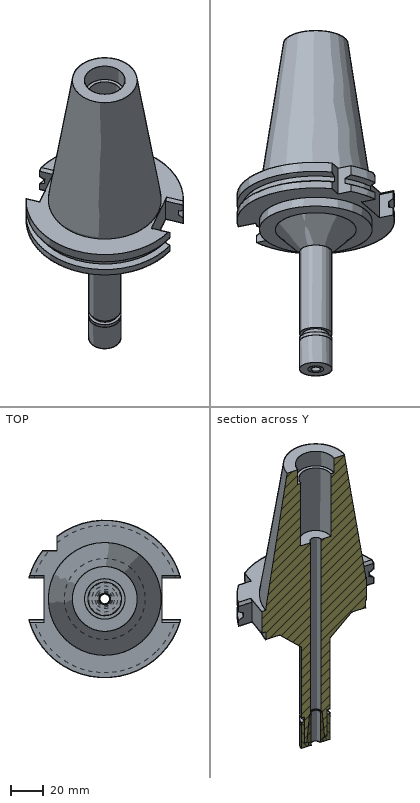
import cadquery as cq
import math

total_height = 221.8
gauge_z = 120.0
flange_top_z = 118.6
flange_bottom_z = 101.1
collar_bottom_z = 95.1
cone_bottom_z = 80.0
neck_top_z = 24.0
nut_top_z = 20.8

gauge_diameter = 69.9
taper_ratio = 7 / 24
taper_top_diameter = gauge_diameter - taper_ratio * (total_height - gauge_z)
flange_diameter = 97.5
shank_diameter = 20.0
neck_diameter = 16.0
cone_top_diameter = shank_diameter + 2 * (collar_bottom_z - cone_bottom_z)

groove_center_z = 109.0
groove_floor_diameter = 91.4
groove_floor_width = 3.0
groove_wall_angle = 30.0

slot_width = 25.7
slot_chamfer = 1.8
left_slot_floor = 37.7
right_slot_floor = 35.5
notch_x = -29.7
notch_y = 30.0

counterbore_diameter = 25.0
counterbore_depth = 11.5
thread_bore_diameter = 20.8
thread_bore_depth = 61.0
coolant_hole_diameter = 7.0

nut_diameter = 20.2
nut_rim_diameter = 20.5
nut_rim_height = 2.2
nut_front_wall = 3.3
collet_nose_diameter = 9.8
collet_large_diameter = 12.0
collet_small_diameter = 8.5
collet_length = 24.5
collet_bore_diameter = 6.0


def cylinder(diameter, bottom_z, top_z):
    return cq.Workplane("XY").workplane(offset=bottom_z).circle(diameter / 2).extrude(top_z - bottom_z)


def revolved(profile):
    """Revolve a closed (radius, z) outline around the Z axis."""
    return cq.Workplane("XZ").polyline(profile).close().revolve(360, (0, 0, 0), (0, 1, 0))


def collet_cone():
    """Tapered part of the collet, resting on the front wall of the nut."""
    return revolved([
        (0, nut_front_wall),
        (collet_large_diameter / 2, nut_front_wall),
        (collet_small_diameter / 2, collet_length),
        (0, collet_length),
    ])


def holder_blank():
    """Turned outside: steep taper, flange, collar, cone, shank and neck."""
    gauge_radius = gauge_diameter / 2
    flange_radius = flange_diameter / 2
    shank_radius = shank_diameter / 2
    neck_radius = neck_diameter / 2
    return revolved([
        (0, nut_front_wall),
        (neck_radius, nut_front_wall),
        (neck_radius, neck_top_z),
        (shank_radius, neck_top_z),
        (shank_radius, cone_bottom_z),
        (cone_top_diameter / 2, collar_bottom_z),
        (gauge_radius, collar_bottom_z),
        (gauge_radius, flange_bottom_z),
        (flange_radius, flange_bottom_z),
        (flange_radius, flange_top_z),
        (gauge_radius, flange_top_z),
        (gauge_radius, gauge_z),
        (taper_top_diameter / 2, total_height),
        (0, total_height),
    ])


def flange_groove():
    floor_radius = groove_floor_diameter / 2
    rim_radius = flange_diameter / 2
    floor_half = groove_floor_width / 2
    rim_half = floor_half + (rim_radius - floor_radius) * math.tan(math.radians(groove_wall_angle))
    return revolved([
        (floor_radius, groove_center_z - floor_half),
        (rim_radius, groove_center_z - rim_half),
        (rim_radius, groove_center_z + rim_half),
        (floor_radius, groove_center_z + floor_half),
    ])


def drive_slot(floor_distance, side):
    """Slot open outwards on one side (-1 or +1 along X), chamfered along its top edges."""
    half = slot_width / 2
    return (
        cq.Workplane("YZ")
        .workplane(offset=side * floor_distance)
        .polyline([
            (-half, flange_bottom_z),
            (half, flange_bottom_z),
            (half, flange_top_z - slot_chamfer),
            (half + slot_chamfer, flange_top_z),
            (-half - slot_chamfer, flange_top_z),
            (-half, flange_top_z - slot_chamfer),
        ])
        .close()
        .extrude(side * flange_diameter / 2)
    )


def orientation_notch():
    """Square-cornered notch through the flange rim in the -X, +Y quadrant."""
    size = flange_diameter / 2
    return (
        cq.Workplane("XY")
        .workplane(offset=flange_bottom_z)
        .moveTo(notch_x - size / 2, notch_y + size / 2)
        .rect(size, size)
        .extrude(flange_top_z - flange_bottom_z)
    )


def make_holder():
    holder = holder_blank().cut(flange_groove())
    holder = holder.cut(drive_slot(left_slot_floor, -1)).cut(drive_slot(right_slot_floor, 1))
    holder = holder.cut(orientation_notch())
    holder = holder.cut(cylinder(counterbore_diameter, total_height - counterbore_depth, total_height))
    holder = holder.cut(cylinder(thread_bore_diameter, total_height - thread_bore_depth, total_height))
    holder = holder.cut(cylinder(coolant_hole_diameter, nut_front_wall, total_height))
    return holder.cut(collet_cone())


def make_nut():
    """Cup around the neck, with a slightly wider rim and an opening for the collet nose."""
    nut = cylinder(nut_diameter, 0, nut_top_z)
    nut = nut.union(cylinder(nut_rim_diameter, nut_top_z - nut_rim_height, nut_top_z))
    nut = nut.cut(cylinder(neck_diameter, nut_front_wall, nut_top_z))
    return nut.cut(cylinder(collet_nose_diameter, 0, nut_front_wall))


def make_collet():
    collet = collet_cone().union(cylinder(collet_nose_diameter, 0, nut_front_wall))
    return collet.cut(cylinder(collet_bore_diameter, 0, collet_length))


holder = make_holder()
nut = make_nut()
collet = make_collet()

result = cq.Compound.makeCompound([holder.val(), nut.val(), collet.val()])